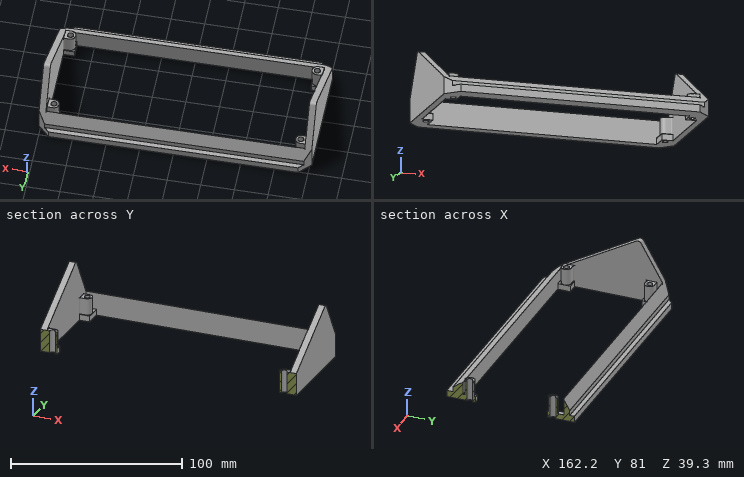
import cadquery as cq
import math

length = 162.2
depth = 81.0
height = 39.3
front_chamfer = 7.8
rear_chamfer = 7.0

side_wall = 4.2
front_wall = 10.4
rear_wall = rear_chamfer

lip_height = 4.4
front_lip = 3.9
rear_lip = 3.0
front_shoulder = 7.3
front_crease_height = 10.4
tilt = math.radians(30)
apex_radius = 2.3

post_inset = 7.8
front_post_y = 14.6
rear_post_y = 67.3
post_radius = 3.1
web_fillet = 0.8
post_height = 14.3
hole_diameter = 3.4
pad_width = 6.7
pad_thickness = 3.9
front_pad_end = 18.3
rear_pad_start = 63.6


def make_plan():
    """Full-height block with the four corners cut at 45 degrees."""
    half = length / 2
    right_side = [
        (half - front_chamfer, 0),
        (half, front_chamfer),
        (half, depth - rear_chamfer),
        (half - rear_chamfer, depth),
    ]
    left_side = [(-x, y) for x, y in reversed(right_side)]
    return cq.Workplane("XY").polyline(right_side + left_side).close().extrude(height)


def make_profile():
    """Side profile: lips, a 30 degree sloping front and a square rounded apex."""
    apex_z = height + apex_radius * (math.sin(tilt) + math.cos(tilt) - 1)
    apex_y = front_chamfer + (apex_z - front_crease_height) / math.tan(tilt)
    rear_shoulder_y = depth - rear_lip
    rear_shoulder = apex_z - (rear_shoulder_y - apex_y) / math.tan(tilt)
    points = [
        (0, 0),
        (0, lip_height),
        (front_lip, lip_height),
        (front_lip, front_shoulder),
        (front_chamfer, front_crease_height),
        (apex_y, apex_z),
        (rear_shoulder_y, rear_shoulder),
        (rear_shoulder_y, lip_height),
        (depth, lip_height),
        (depth, 0),
    ]
    profile = cq.Workplane("YZ").polyline(points).close().extrude(length / 2, both=True)
    apex_edge = cq.selectors.NearestToPointSelector((0, apex_y, apex_z))
    return profile.edges("|X").edges(apex_edge).fillet(apex_radius)


def box_between(x_start, x_end, y_start, y_end, top):
    """Box standing on the base plane."""
    box = cq.Workplane("XY").box(x_end - x_start, y_end - y_start, top, centered=False)
    return box.translate((x_start, y_start, 0))


def make_mount(post_y, pad_start, pad_end, inward):
    """Left-hand pad and post, joined to the side wall with a fillet on the inward Y side."""
    wall_x = side_wall - length / 2
    post_x = post_inset - length / 2
    pad = box_between(wall_x, wall_x + pad_width, pad_start, pad_end, pad_thickness)
    web = box_between(wall_x, post_x, post_y - post_radius, post_y + post_radius, post_height)
    post = cq.Workplane("XY").center(post_x, post_y).circle(post_radius).extrude(post_height)
    hole = cq.Workplane("XY").center(post_x, post_y).circle(hole_diameter / 2).extrude(post_height)
    corner_y = post_y + inward * post_radius
    outer_y = corner_y + inward * web_fillet
    arc_offset = web_fillet * (1 - math.sqrt(0.5))
    wall_fillet = (
        cq.Workplane("XY")
        .moveTo(wall_x, corner_y)
        .lineTo(wall_x, outer_y)
        .threePointArc(
            (wall_x + arc_offset, corner_y + inward * arc_offset),
            (wall_x + web_fillet, corner_y),
        )
        .close()
        .extrude(post_height)
    )
    return pad.union(web).union(post).union(wall_fillet).cut(hole)


inner_half = length / 2 - side_wall
opening = box_between(-inner_half, inner_half, front_wall, depth - rear_wall, height)
result = make_plan().intersect(make_profile()).cut(opening)

mounts = [
    (front_post_y, front_wall, front_pad_end, 1),
    (rear_post_y, rear_pad_start, depth - rear_wall, -1),
]
for post_y, pad_start, pad_end, inward in mounts:
    mount = make_mount(post_y, pad_start, pad_end, inward)
    result = result.union(mount).union(mount.mirror("YZ"))